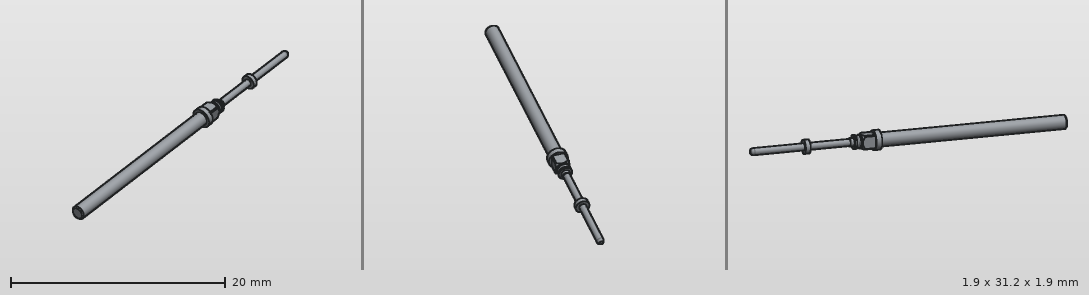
import cadquery as cq

total_length = 31.2

barrel_diameter = 1.36
flange_diameter = 1.9
square_corner_diameter = 1.78
shoulder_diameter = 1.34
flare_diameter = 1.26
neck_diameter = 1.18
disc_diameter = 1.34
collar_diameter = 0.83
rod_diameter = 0.7
ring_diameter = 1.36

barrel_length = 18.45
flange_thickness = 0.57
square_length = 1.27
shoulder_length = 0.15
flare_length = 0.2
neck_length = 0.18
disc_thickness = 0.2
collar_length = 0.36
ring_thickness = 0.48
ring_to_tip = 5.28

across_flats = barrel_diameter
square_chamfer = (square_corner_diameter - shoulder_diameter) / 2
barrel_chamfer = 0.13
tip_flat_diameter = 0.36
tip_round_length = 0.33

flange_start = barrel_length
square_start = flange_start + flange_thickness
shoulder_start = square_start + square_length
flare_start = shoulder_start + shoulder_length
neck_start = flare_start + flare_length
disc_start = neck_start + neck_length
collar_start = disc_start + disc_thickness
rod_start = collar_start + collar_length
ring_start = total_length - ring_to_tip - ring_thickness


def cylinder(start, length, diameter):
    """Solid cylinder on the Y axis, running from start towards the tip."""
    plane = cq.Workplane("XZ", origin=(0, start, 0))
    return plane.circle(diameter / 2).extrude(-length)


def barrel():
    return cylinder(0, barrel_length, barrel_diameter).faces("<Y").chamfer(barrel_chamfer)


def square_section():
    """Round blank chamfered at its tip end, with four flats cut on it."""
    blank = cylinder(square_start, square_length, square_corner_diameter)
    blank = blank.faces(">Y").chamfer(square_chamfer)
    plane = cq.Workplane("XZ", origin=(0, square_start, 0))
    flats = plane.rect(across_flats, across_flats).extrude(-square_length)
    return blank.intersect(flats)


def flare():
    """Cone that widens from the neck towards the shoulder."""
    plane = cq.Workplane("XZ", origin=(0, flare_start, 0))
    wide_end = plane.circle(flare_diameter / 2)
    return wide_end.workplane(offset=-flare_length).circle(neck_diameter / 2).loft(ruled=True)


def rod():
    """Thin rod whose tip is rounded down to a small flat."""
    rod_radius = rod_diameter / 2
    profile = (
        cq.Workplane("XY")
        .moveTo(0, rod_start)
        .lineTo(rod_radius, rod_start)
        .lineTo(rod_radius, total_length - tip_round_length)
        .tangentArcPoint((tip_flat_diameter / 2, total_length), relative=False)
        .lineTo(0, total_length)
        .close()
    )
    return profile.revolve(360, (0, 0, 0), (0, 1, 0))


result = (
    barrel()
    .union(cylinder(flange_start, flange_thickness, flange_diameter))
    .union(square_section())
    .union(cylinder(shoulder_start, shoulder_length, shoulder_diameter))
    .union(flare())
    .union(cylinder(neck_start, neck_length, neck_diameter))
    .union(cylinder(disc_start, disc_thickness, disc_diameter))
    .union(cylinder(collar_start, collar_length, collar_diameter))
    .union(rod())
    .union(cylinder(ring_start, ring_thickness, ring_diameter))
)